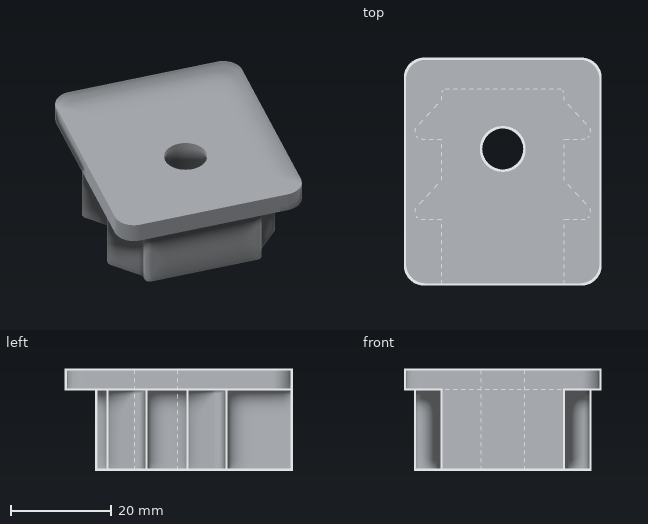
import cadquery as cq
import math

plate_width = 39.0
plate_length = 45.0
plate_thickness = 4.0
plate_corner_radius = 4.0

total_height = 20.0
plug_height = total_height - plate_thickness
plug_half_width = 12.25
plug_front_y = -plate_length / 2
plug_length = 38.95
plug_back_corner_radius = 1.12

rib_front_positions = (-9.55, 6.45)
rib_root_length = 7.8
rib_tip_radius = 1.5
rib_tip_center_x = 16.0

hole_diameter = 8.6
hole_center_y = 4.5


def make_plate():
    """Rounded plate with its underside at the top of the plug."""
    return (
        cq.Workplane("XY")
        .workplane(offset=plug_height)
        .rect(plate_width, plate_length)
        .extrude(plate_thickness)
        .edges("|Z")
        .fillet(plate_corner_radius)
    )


def make_plug():
    """Rectangular plug with rounded back corners."""
    return (
        cq.Workplane("XY")
        .center(0, plug_front_y + plug_length / 2)
        .rect(2 * plug_half_width, plug_length)
        .extrude(plug_height)
        .edges("|Z and >Y")
        .fillet(plug_back_corner_radius)
    )


def make_rib(front_y):
    """Barb on the +X side: flat front, round tip, slanted back tangent to the tip."""
    center_y = front_y + rib_tip_radius
    root_back_y = front_y + rib_root_length

    root_dx = plug_half_width - rib_tip_center_x
    root_dy = root_back_y - center_y
    root_distance = math.hypot(root_dx, root_dy)
    tangent_angle = math.atan2(root_dy, root_dx) - math.acos(rib_tip_radius / root_distance)
    middle_angle = (tangent_angle - math.pi / 2) / 2

    def tip_point(angle):
        return (
            rib_tip_center_x + rib_tip_radius * math.cos(angle),
            center_y + rib_tip_radius * math.sin(angle),
        )

    return (
        cq.Workplane("XY")
        .moveTo(0, front_y)
        .lineTo(rib_tip_center_x, front_y)
        .threePointArc(tip_point(middle_angle), tip_point(tangent_angle))
        .lineTo(plug_half_width, root_back_y)
        .lineTo(0, root_back_y)
        .close()
        .extrude(plug_height)
    )


hole = (
    cq.Workplane("XY")
    .center(0, hole_center_y)
    .circle(hole_diameter / 2)
    .extrude(total_height)
)

result = make_plate().union(make_plug())
for rib_front_y in rib_front_positions:
    rib = make_rib(rib_front_y)
    result = result.union(rib).union(rib.mirror("YZ"))
result = result.cut(hole)